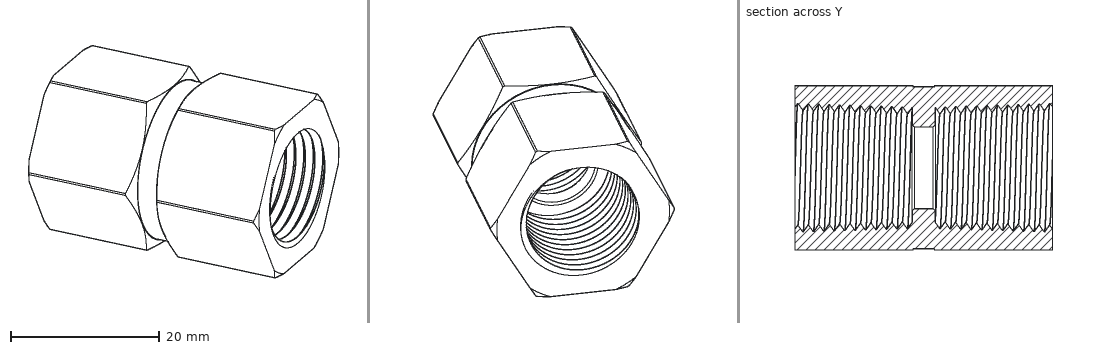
import cadquery as cq
import math

length = 34.8
across_flats = 22.2
across_points = across_flats / math.cos(math.radians(30))
corner_diameter = 25.47
neck_diameter = 21.92
neck_width = 2.85

chamfer_slope = math.tan(math.radians(30))
outer_chamfer = 0.75
inner_chamfer = 1.67

thread_pitch = 1.41
socket_depth = 15.85
crest_radius = 7.73
groove_height = 0.95
crest_flat = 0.052
root_flat = 0.07
taper_slope = 1 / 32
root_angle = 75.0

bore_radius = 5.5
bore_chamfer = 0.3

clearance = 0.17
hex_length = (length - neck_width) / 2
web_half = length / 2 - socket_depth


def hexagon():
    """Hexagon at the -X end, its corners turned down and chamfered at both ends."""
    corner_radius = corner_diameter / 2
    start = -length / 2
    end = start + hex_length
    prism = (
        cq.Workplane("YZ", origin=(start, 0, 0))
        .polygon(6, across_points)
        .extrude(hex_length)
    )
    turned = (
        cq.Workplane("XY")
        .moveTo(start, 0)
        .lineTo(start, corner_radius - outer_chamfer)
        .lineTo(start + outer_chamfer * chamfer_slope, corner_radius)
        .lineTo(end - inner_chamfer * chamfer_slope, corner_radius)
        .lineTo(end, corner_radius - inner_chamfer)
        .lineTo(end, 0)
        .close()
        .revolve(360, (0, 0, 0), (1, 0, 0))
    )
    return prism.intersect(turned)


def neck():
    """Round neck between the two hexagons."""
    return (
        cq.Workplane("YZ", origin=(-neck_width / 2, 0, 0))
        .circle(neck_diameter / 2)
        .extrude(neck_width)
    )


def bore():
    """Plain bore through the web between the sockets, chamfered at both ends."""
    return (
        cq.Workplane("XY")
        .moveTo(-web_half, 0)
        .lineTo(-web_half, bore_radius + bore_chamfer)
        .lineTo(-web_half + bore_chamfer, bore_radius)
        .lineTo(web_half - bore_chamfer, bore_radius)
        .lineTo(web_half, bore_radius + bore_chamfer)
        .lineTo(web_half, 0)
        .close()
        .revolve(360, (0, 0, 0), (1, 0, 0))
    )


def crest_radius_at(depth):
    """Thread crest radius at an axial depth below the mouth."""
    return crest_radius - depth * taper_slope


def tapered_plug(extra_radius=0.0):
    """Cone that follows the thread taper from just outside the mouth to the socket floor."""
    return (
        cq.Workplane("XZ")
        .moveTo(0, -clearance)
        .lineTo(crest_radius_at(-clearance) + extra_radius, -clearance)
        .lineTo(crest_radius_at(socket_depth) + extra_radius, socket_depth)
        .lineTo(0, socket_depth)
        .close()
        .revolve(360, (0, 0, 0), (0, 1, 0))
    )


def thread_groove():
    """Right-hand helical V groove, trimmed at the mouth and at the socket floor."""
    start = -(1 + root_angle / 360) * thread_pitch
    span = socket_depth + thread_pitch - start
    radius = crest_radius_at(start)
    overlap = 0.07
    half_mouth = (thread_pitch - crest_flat) / 2
    taper_angle = math.degrees(math.atan(taper_slope))
    helix = cq.Wire.makeHelix(
        thread_pitch, span, radius, cq.Vector(0, 0, start), cq.Vector(0, 0, 1), -taper_angle
    )
    groove = (
        cq.Workplane("XZ")
        .moveTo(radius - overlap, start - half_mouth)
        .lineTo(radius, start - half_mouth)
        .lineTo(radius + groove_height, start - root_flat / 2)
        .lineTo(radius + groove_height, start + root_flat / 2)
        .lineTo(radius, start + half_mouth)
        .lineTo(radius - overlap, start + half_mouth)
        .close()
        .sweep(cq.Workplane(helix), isFrenet=True)
    )
    return groove.intersect(tapered_plug(2 * groove_height))


left_hexagon = hexagon()
result = left_hexagon.union(neck()).union(left_hexagon.mirror("YZ")).cut(bore())

for cutter in (tapered_plug(), thread_groove()):
    socket = cutter.rotate((0, 0, 0), (0, 1, 0), 90).translate((-length / 2, 0, 0))
    for turn in (0, 180):
        result = result.cut(socket.rotate((0, 0, 0), (0, 0, 1), turn))